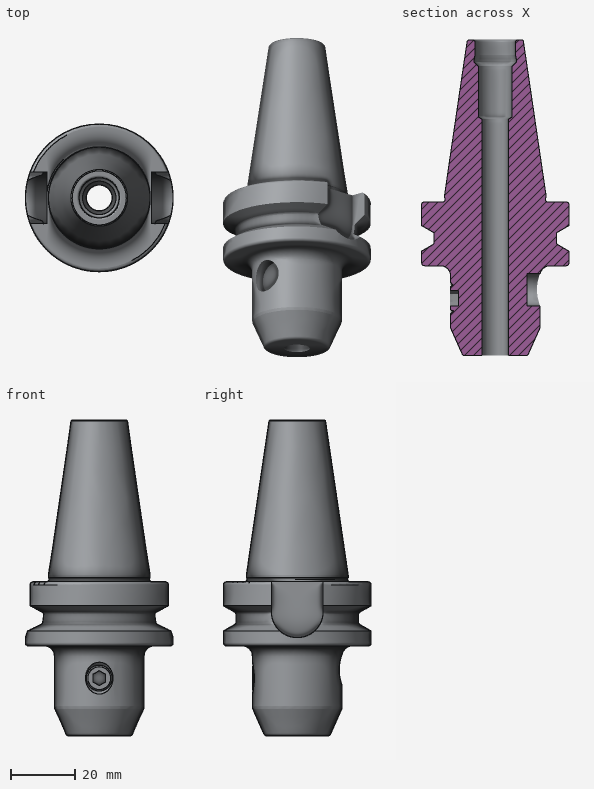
import cadquery as cq
import math


arc_mid_offset = 1 - math.sqrt(0.5)

gauge_diameter = 31.75
gauge_radius = gauge_diameter / 2
taper_length = 48.4
taper_ratio = 7 / 24
taper_radius_slope = taper_ratio / 2
taper_top_radius = gauge_radius - taper_length * taper_radius_slope
taper_top_chamfer = 0.4

neck_radius = 15.7
neck_start = -0.7
neck_fillet = 0.65

flange_radius = 23.0
flange_top = -2.0
flange_bottom = -22.0
flange_edge_round = 1.0
groove_center = -13.4
groove_width = 7.9
groove_root_radius = 19.1
groove_flank_angle = 30
groove_root_round = 0.6
groove_drop = (flange_radius - groove_root_radius) * math.tan(math.radians(groove_flank_angle))
groove_upper_edge = groove_center + groove_width / 2
groove_lower_edge = groove_center - groove_width / 2

keyway_width = 16.1
keyway_floor = 16.3
keyway_bottom = -19.4

nose_radius = 14.0
nose_bottom = -50.0
nose_fillet = 3.0
nose_cone_top = -41.25
nose_cone_round = 2.2
nose_tip_radius = 10.1
nose_tip_round = 1.2

bore_radius = 4.0
thread_radius = 5.2
pilot_radius = 6.25
pilot_mouth_radius = 7.0
pilot_depth = 4.8
relief_radius = 6.5
relief_taper_end = 6.2
relief_depth = 7.0
thread_depth = 24.0
drill_point_angle = 118

screw_distance_from_face = 18.0
screw_height = nose_bottom + screw_distance_from_face
screw_radius = 4.0
screw_chamfer = 0.45
screw_hole_mouth_radius = 4.95
hex_width = 4.0
hex_depth = 2.5

balance_hole_height = -29.4
balance_hole_radius = 5.0
balance_hole_depth = 4.0


def fillet_rim(body, height, radius):
    """Round the circular edge centred on Z at the given height."""
    margin = 0.1
    rim = cq.selectors.BoxSelector((-margin, -margin, height - margin), (margin, margin, height + margin))
    return body.edges(rim).fillet(radius)


def make_body():
    """Revolve the outer profile about Z."""
    neck_fillet_start = flange_top + neck_fillet
    flange_round_offset = arc_mid_offset * flange_edge_round
    profile = (
        cq.Workplane("YZ")
        .moveTo(0, taper_length)
        .lineTo(taper_top_radius - taper_top_chamfer, taper_length)
        .lineTo(taper_top_radius, taper_length - taper_top_chamfer)
        .lineTo(gauge_radius, 0)
        .lineTo(gauge_radius, neck_start)
        .lineTo(neck_radius, neck_start - (gauge_radius - neck_radius))
        .lineTo(neck_radius, neck_fillet_start)
        .threePointArc(
            (neck_radius + arc_mid_offset * neck_fillet, flange_top + arc_mid_offset * neck_fillet),
            (neck_radius + neck_fillet, flange_top),
        )
        .lineTo(flange_radius - flange_edge_round, flange_top)
        .threePointArc(
            (flange_radius - flange_round_offset, flange_top - flange_round_offset),
            (flange_radius, flange_top - flange_edge_round),
        )
        .lineTo(flange_radius, groove_upper_edge)
        .lineTo(groove_root_radius, groove_upper_edge - groove_drop)
        .lineTo(groove_root_radius, groove_lower_edge + groove_drop)
        .lineTo(flange_radius, groove_lower_edge)
        .lineTo(flange_radius, flange_bottom + flange_edge_round)
        .threePointArc(
            (flange_radius - flange_round_offset, flange_bottom + flange_round_offset),
            (flange_radius - flange_edge_round, flange_bottom),
        )
        .lineTo(nose_radius + nose_fillet, flange_bottom)
        .threePointArc(
            (nose_radius + arc_mid_offset * nose_fillet, flange_bottom - arc_mid_offset * nose_fillet),
            (nose_radius, flange_bottom - nose_fillet),
        )
        .lineTo(nose_radius, nose_cone_top)
        .lineTo(nose_tip_radius, nose_bottom)
        .lineTo(0, nose_bottom)
        .close()
    )
    body = profile.revolve(360, (0, 0, 0), (0, 1, 0))
    body = fillet_rim(body, groove_upper_edge - groove_drop, groove_root_round)
    body = fillet_rim(body, groove_lower_edge + groove_drop, groove_root_round)
    body = fillet_rim(body, nose_cone_top, nose_cone_round)
    return body.faces("<Z").edges().fillet(nose_tip_round)


def make_bore():
    """Through bore with the pull-stud pilot, relief and thread bore at the small end."""
    mouth_round = pilot_mouth_radius - pilot_radius
    thread_start = taper_length - relief_depth - (relief_radius - thread_radius)
    thread_end = taper_length - thread_depth
    drill_point_drop = (thread_radius - bore_radius) / math.tan(math.radians(drill_point_angle / 2))
    profile = (
        cq.Workplane("YZ")
        .moveTo(0, taper_length)
        .lineTo(pilot_mouth_radius, taper_length)
        .threePointArc(
            (pilot_radius + arc_mid_offset * mouth_round, taper_length - arc_mid_offset * mouth_round),
            (pilot_radius, taper_length - mouth_round),
        )
        .lineTo(pilot_radius, taper_length - pilot_depth)
        .lineTo(relief_radius, taper_length - relief_taper_end)
        .lineTo(relief_radius, taper_length - relief_depth)
        .lineTo(thread_radius, thread_start)
        .lineTo(thread_radius, thread_end)
        .lineTo(bore_radius, thread_end - drill_point_drop)
        .lineTo(bore_radius, nose_bottom)
        .lineTo(0, nose_bottom)
        .close()
    )
    return profile.revolve(360, (0, 0, 0), (0, 1, 0))


def make_keyway(side):
    """Drive keyway on the +X (side = 1) or -X (side = -1) edge of the flange."""
    radius = keyway_width / 2
    arc_height = keyway_bottom + radius
    return (
        cq.Workplane("YZ", origin=(side * keyway_floor, 0, 0))
        .moveTo(-radius, 0)
        .lineTo(-radius, arc_height)
        .threePointArc((0, keyway_bottom), (radius, arc_height))
        .lineTo(radius, 0)
        .close()
        .extrude(side * flange_radius)
    )


def make_screw_countersink():
    """45 degree lead-in cone around the clamping screw."""
    depth = screw_hole_mouth_radius - screw_radius
    return (
        cq.Workplane("XY")
        .moveTo(0, -nose_radius)
        .lineTo(screw_hole_mouth_radius, -nose_radius)
        .lineTo(screw_radius, depth - nose_radius)
        .lineTo(0, depth - nose_radius)
        .close()
        .revolve(360, (0, 0, 0), (0, 1, 0))
        .translate((0, 0, screw_height))
    )


def make_screw():
    """Set screw filling its hole from the bore to the nose surface."""
    return (
        cq.Workplane("XZ", origin=(0, -nose_radius, screw_height))
        .circle(screw_radius)
        .extrude(-(nose_radius - bore_radius))
        .faces("<Y")
        .chamfer(screw_chamfer)
    )


def make_hex_socket():
    """Hexagon socket in the outer end of the screw."""
    return (
        cq.Workplane("XZ", origin=(0, -nose_radius, screw_height))
        .polygon(6, hex_width, circumscribed=True)
        .extrude(-hex_depth)
    )


def make_balance_hole():
    """Blind round hole on the side opposite the screw."""
    return (
        cq.Workplane("XZ", origin=(0, nose_radius - balance_hole_depth, balance_hole_height))
        .circle(balance_hole_radius)
        .extrude(-flange_radius)
    )


result = make_body().cut(make_bore())
for side in (-1, 1):
    result = result.cut(make_keyway(side))
result = result.cut(make_balance_hole())
result = result.cut(make_screw_countersink())
result = result.union(make_screw())
result = result.cut(make_hex_socket())